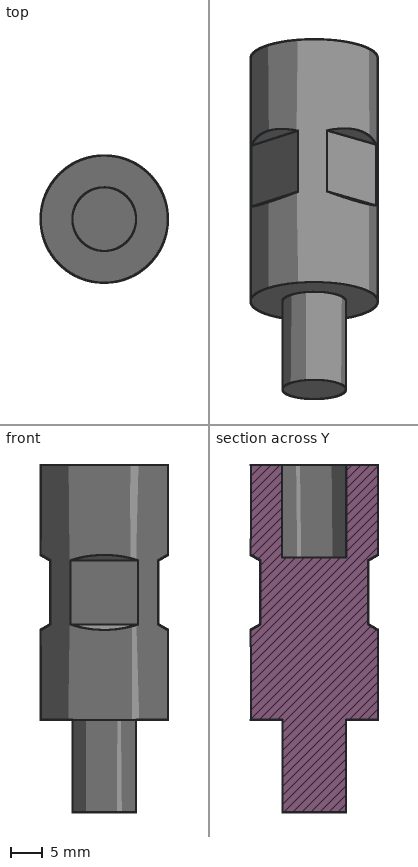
import cadquery as cq
import math

total_length = 54.5
body_diameter = 20.0
body_length = 40.0
stud_diameter = body_diameter / 2
across_flats = 17.0
flat_length = 10.05
ramp_angle = 30.0

stud_length = total_length - body_length
bore_diameter = stud_diameter
bore_depth = stud_length
flats_center_z = stud_length + body_length / 2
flat_distance = across_flats / 2
cutter_reach = body_diameter
ramp_rise = (cutter_reach - flat_distance) * math.tan(math.radians(ramp_angle))


def make_body():
    """Cylinder with a stud below and a blind bore in its top face."""
    stud = cq.Workplane("XY").circle(stud_diameter / 2).extrude(stud_length)
    body = (
        cq.Workplane("XY")
        .workplane(offset=stud_length)
        .circle(body_diameter / 2)
        .extrude(body_length)
    )
    return stud.union(body).faces(">Z").workplane().hole(bore_diameter, bore_depth)


def make_flat_cutter():
    """Trapezoidal prism on the +X side: a flat with outward sloping ends."""
    inner_half = flat_length / 2
    outer_half = inner_half + ramp_rise
    return (
        cq.Workplane("XZ")
        .polyline([
            (flat_distance, -inner_half),
            (cutter_reach, -outer_half),
            (cutter_reach, outer_half),
            (flat_distance, inner_half),
        ])
        .close()
        .extrude(body_diameter / 2, both=True)
        .translate((0, 0, flats_center_z))
    )


result = make_body()

for angle in (0, 90, 180, 270):
    result = result.cut(make_flat_cutter().rotate((0, 0, 0), (0, 0, 1), angle))